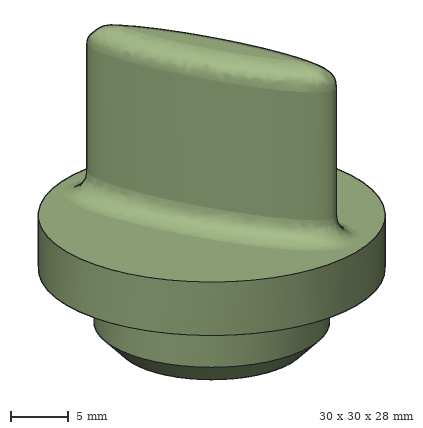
import cadquery as cq
import math

flange_diameter = 30.0
flange_thickness = 5.0
plug_diameter = 20.4
plug_height = 7.0
plug_chamfer = 2.0
grip_length = 24.0
grip_width = 6.0
grip_height = 16.0
blend_radius = 2.0
seam_x = 10.9
side_end_x = 11.55
crest_points = [(10.65, 0.35), (11.58, 1.15)]
root_margin = 0.3

flange_top = plug_height + flange_thickness
grip_top = flange_top + grip_height
shoulder = grip_top - blend_radius
half_length = grip_length / 2
half_width = grip_width / 2
seam_angle = math.acos(seam_x / half_length)

focal_length = math.sqrt(half_length**2 - half_width**2)
tip_x = focal_length * math.sqrt(1 - (blend_radius / half_width) ** 2)


def ellipse_y(x):
    """Half width of the grip at x."""
    return half_width * math.sqrt(1 - (x / half_length) ** 2)


def ellipse_arc(x, z):
    """Upper arc of the grip ellipse between -x and +x."""
    angle = math.degrees(math.acos(x / half_length))
    return cq.Edge.makeEllipse(
        half_length, half_width, cq.Vector(0, 0, z), angle1=angle, angle2=180 - angle
    )


def side_prism(arc_end_x, back_points, bottom):
    """Block up to the grip top, behind the upper ellipse arc and closed through back_points."""
    y = ellipse_y(arc_end_x)
    corners = [(-arc_end_x, y)] + back_points + [(arc_end_x, y)]
    corners = [cq.Vector(px, py, bottom) for px, py in corners]
    edges = [cq.Edge.makeLine(a, b) for a, b in zip(corners, corners[1:])]
    outline = cq.Wire.assembleEdges([ellipse_arc(arc_end_x, bottom)] + edges)
    solid = cq.Solid.extrudeLinear(outline, [], cq.Vector(0, 0, grip_top - bottom))
    return cq.Workplane(obj=solid)


def make_top_side():
    """The rounded +Y half of the grip top, between the two vertical seam planes."""
    back_y = -grip_width
    block = side_prism(side_end_x, [(-side_end_x, back_y), (side_end_x, back_y)], flange_top)
    rounded = block.faces(">Z").edges(">Y").fillet(blend_radius)
    return rounded.intersect(side_prism(seam_x, [(-tip_x, 0), (tip_x, 0)], shoulder))


def make_top_end(side):
    """The +X end of the grip top: a smooth three-sided cap between the two seams."""
    seam_face = next(face for face in side.faces("%PLANE").vals() if face.Center().x > tip_x)
    seam_edge = next(edge for edge in seam_face.Edges() if edge.geomType() == "BSPLINE")
    angle = math.degrees(seam_angle)
    center = cq.Vector(0, 0, shoulder)
    rim = cq.Edge.makeEllipse(half_length, half_width, center, angle1=-angle, angle2=angle)
    crest = [cq.Vector(x, 0, grip_top - drop) for x, drop in crest_points]
    cap = cq.Face.makeNSidedSurface([seam_edge, seam_edge.mirror("XZ"), rim], crest)

    tip = cq.Vector(tip_x, 0, shoulder)
    radii = [cq.Edge.makeLine(tip, corner) for corner in (rim.startPoint(), rim.endPoint())]
    floor = cq.Face.makeFromWires(cq.Wire.assembleEdges([rim] + radii))
    shell = cq.Shell.makeShell([seam_face, seam_face.mirror("XZ"), cap, floor])
    return cq.Workplane(obj=cq.Solid.makeSolid(shell))


def make_base():
    """Flange on a chamfered plug."""
    plug = cq.Workplane("XY").circle(plug_diameter / 2).extrude(plug_height)
    plug = plug.faces("<Z").chamfer(plug_chamfer)
    flange = cq.Workplane("XY", origin=(0, 0, plug_height)).circle(flange_diameter / 2)
    return plug.union(flange.extrude(flange_thickness))


def make_body():
    """Base with the straight part of the grip on it and a flared blend at the grip's root."""
    grip = (
        cq.Workplane("XY", origin=(0, 0, flange_top))
        .ellipse(half_length, half_width)
        .extrude(shoulder - flange_top)
    )
    root = cq.selectors.BoxSelector(
        (-half_length - root_margin, -half_width - root_margin, flange_top - root_margin),
        (half_length + root_margin, half_width + root_margin, flange_top + root_margin),
        boundingbox=True,
    )
    return make_base().union(grip).edges(root).fillet(blend_radius)


side = make_top_side()
end = make_top_end(side)
top = side.union(side.mirror("XZ")).union(end).union(end.mirror("YZ"))
result = make_body().union(top)